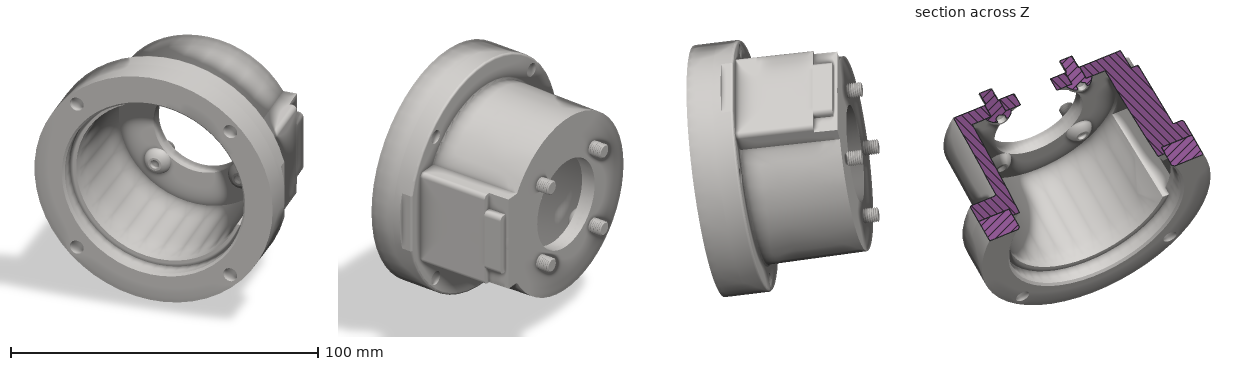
import cadquery as cq
import math


FLANGE_RADIUS = 41.3
RING_THICKNESS = 8.6
BORE_RADIUS = 31.0
BORE_CHAMFER = 0.75
MOUNT_HOLE_RADIUS = 2.4
MOUNT_HOLE_OFFSET = 26.6

SPIGOT_LENGTH = 2.9
FLANGE_THICKNESS = 6.5
FLANGE_FILLET = 0.75
TUBE_BASE_RADIUS = 32.45
TUBE_END_RADIUS = 31.95
TUBE_FILLET = 0.75
TUBE_LENGTH = 33.0
CAVITY_MOUTH_RADIUS = 28.9
CAVITY_FLOOR_RADIUS = 28.0
FLOOR_THICKNESS = 5.0
FLOOR_HOLE_RADIUS = 15.9
FLANGE_FLAT_X = 39.95
FLANGE_FLAT_DEPTH = 3.8

SPIGOT_Y = RING_THICKNESS - SPIGOT_LENGTH
FLANGE_BACK_Y = RING_THICKNESS + FLANGE_THICKNESS
TUBE_END_Y = FLANGE_BACK_Y + TUBE_LENGTH
FLOOR_Y = TUBE_END_Y - FLOOR_THICKNESS

BOX_HALF_WIDTH = 16.75
BOX_BASE_X = 35.0
BOX_STEP_X = 34.6
BOX_EDGE_RADIUS = 1.6
SEAT_LENGTH = 7.6
SEAT_STEP_X = 32.1
SEAT_END_X = 31.9
SLOT_HALF_WIDTH = 10.8
SLOT_MOUTH_X = 32.7
SLOT_END_X = 31.7
SLOT_LENGTH = 33.0

SEAT_Y = TUBE_END_Y - SEAT_LENGTH

INSERT_LENGTH = 6.35
INSERT_HALF_WIDTH = SLOT_HALF_WIDTH
INSERT_STEP_X = 34.75
INSERT_END_X = 34.6

SCREW_OFFSET = 14.5
SCREW_TIP_Y = 53.1
THREAD_CREST_RADIUS = 2.5
THREAD_ROOT_RADIUS = 2.1
THREAD_TEETH = 7
HEAD_RADIUS = 4.6
HEAD_HEIGHT = 2.7
HEAD_TOP_RADIUS = 2.3
SOCKET_RADIUS = 1.6
SOCKET_DEPTH = 1.5
SOCKET_POINT = 0.8


def revolve_about_y(profile):
    return profile.close().revolve(360, (0, 0, 0), (0, 1, 0))


def corner_points(offset):
    return [(x, z) for x in (-offset, offset) for z in (-offset, offset)]


def rods_along_y(points, radius, y_start, y_end):
    plane = cq.Workplane("XZ", origin=(0, y_start, 0))
    return plane.pushPoints(points).circle(radius).extrude(y_start - y_end)


def slab(outline, half_width):
    """Extrude an outline drawn in X and Y equally to both sides of Z = 0."""
    return cq.Workplane("XY").polyline(outline).close().extrude(half_width, both=True)


def rounded_slab(outline, half_width):
    """Slab whose two long edges on the outermost X face are rounded."""
    return slab(outline, half_width).faces(">X").edges("not |Z").fillet(BOX_EDGE_RADIUS)


def mount_holes():
    return rods_along_y(corner_points(MOUNT_HOLE_OFFSET), MOUNT_HOLE_RADIUS, 0, FLANGE_BACK_Y)


def make_ring():
    profile = (
        cq.Workplane("XY")
        .moveTo(BORE_RADIUS + BORE_CHAMFER, 0)
        .lineTo(FLANGE_RADIUS, 0)
        .lineTo(FLANGE_RADIUS, RING_THICKNESS)
        .lineTo(BORE_RADIUS, RING_THICKNESS)
        .lineTo(BORE_RADIUS, BORE_CHAMFER)
    )
    return revolve_about_y(profile).cut(mount_holes())


def flange():
    """Disc with a flat on the rear of its +X rim, rounded along its rear edge."""
    flat_front_y = FLANGE_BACK_Y - FLANGE_FLAT_DEPTH
    beyond_flat = slab(
        [
            (FLANGE_FLAT_X, flat_front_y),
            (FLANGE_RADIUS, flat_front_y),
            (FLANGE_RADIUS, FLANGE_BACK_Y),
            (FLANGE_FLAT_X, FLANGE_BACK_Y),
        ],
        FLANGE_RADIUS,
    )
    disc = rods_along_y([(0, 0)], FLANGE_RADIUS, RING_THICKNESS, FLANGE_BACK_Y)
    return disc.cut(beyond_flat).faces(">Y").edges().fillet(FLANGE_FILLET)


def spigot_and_tube():
    """Solid outside of the spigot and the tapered tube, filleted where the tube leaves the flange."""
    profile = (
        cq.Workplane("XY")
        .moveTo(0, SPIGOT_Y)
        .lineTo(BORE_RADIUS, SPIGOT_Y)
        .lineTo(BORE_RADIUS, FLANGE_BACK_Y)
        .lineTo(TUBE_BASE_RADIUS + TUBE_FILLET, FLANGE_BACK_Y)
        .radiusArc((TUBE_BASE_RADIUS, FLANGE_BACK_Y + TUBE_FILLET), TUBE_FILLET)
        .lineTo(TUBE_END_RADIUS, TUBE_END_Y)
        .lineTo(0, TUBE_END_Y)
    )
    return revolve_about_y(profile)


def side_box():
    """Box beside the tube, rounded along its outer edges and stepped down to the seat."""
    tall = [(0, FLANGE_BACK_Y), (BOX_BASE_X, FLANGE_BACK_Y), (BOX_STEP_X, SEAT_Y), (0, SEAT_Y)]
    seat = [(0, SEAT_Y), (SEAT_STEP_X, SEAT_Y), (SEAT_END_X, TUBE_END_Y), (0, TUBE_END_Y)]
    return rounded_slab(tall, BOX_HALF_WIDTH).union(slab(seat, BOX_HALF_WIDTH))


def cavity():
    """Tapered bore of the tube, from the spigot mouth to the floor."""
    profile = (
        cq.Workplane("XY")
        .moveTo(0, SPIGOT_Y)
        .lineTo(CAVITY_MOUTH_RADIUS, SPIGOT_Y)
        .lineTo(CAVITY_FLOOR_RADIUS, FLOOR_Y)
        .lineTo(0, FLOOR_Y)
    )
    return revolve_about_y(profile)


def channel():
    """Channel beside the cavity, open through the spigot, with a ceiling that slopes inward."""
    end_y = RING_THICKNESS + SLOT_LENGTH
    outline = [
        (0, SPIGOT_Y),
        (SLOT_MOUTH_X, SPIGOT_Y),
        (SLOT_MOUTH_X, RING_THICKNESS),
        (SLOT_END_X, end_y),
        (0, end_y),
    ]
    return slab(outline, SLOT_HALF_WIDTH)


def make_housing():
    screw_holes = rods_along_y(corner_points(SCREW_OFFSET), THREAD_CREST_RADIUS, FLOOR_Y, TUBE_END_Y)
    floor_hole = rods_along_y([(0, 0)], FLOOR_HOLE_RADIUS, FLOOR_Y, TUBE_END_Y)
    return (
        spigot_and_tube()
        .union(flange())
        .union(side_box())
        .cut(cavity())
        .cut(channel())
        .cut(floor_hole)
        .cut(screw_holes)
        .cut(mount_holes())
    )


def make_insert(housing_body):
    """Block on the seat, trimmed to the housing that carries it."""
    end_y = SEAT_Y + INSERT_LENGTH
    seat_slope = (SEAT_END_X - SEAT_STEP_X) / SEAT_LENGTH
    seat_x_at_end = SEAT_STEP_X + seat_slope * INSERT_LENGTH
    outline = [
        (SEAT_STEP_X, SEAT_Y),
        (INSERT_STEP_X, SEAT_Y),
        (INSERT_END_X, end_y),
        (seat_x_at_end, end_y),
    ]
    return rounded_slab(outline, INSERT_HALF_WIDTH).cut(housing_body)


def make_screw(x, z):
    """Button-head screw with V-shaped ridges on the part that stands out of the housing."""
    pitch = (SCREW_TIP_Y - TUBE_END_Y) / THREAD_TEETH
    head_y = FLOOR_Y - HEAD_HEIGHT
    dome_centre_depth = (HEAD_RADIUS**2 - HEAD_TOP_RADIUS**2 - HEAD_HEIGHT**2) / (2 * HEAD_HEIGHT)
    dome_radius = math.hypot(HEAD_RADIUS, dome_centre_depth)
    profile = (
        cq.Workplane("XY")
        .moveTo(0, head_y + SOCKET_DEPTH + SOCKET_POINT)
        .lineTo(SOCKET_RADIUS, head_y + SOCKET_DEPTH)
        .lineTo(SOCKET_RADIUS, head_y)
        .lineTo(HEAD_TOP_RADIUS, head_y)
        .radiusArc((HEAD_RADIUS, FLOOR_Y), -dome_radius)
        .lineTo(THREAD_CREST_RADIUS, FLOOR_Y)
        .lineTo(THREAD_CREST_RADIUS, TUBE_END_Y)
        .lineTo(THREAD_ROOT_RADIUS, TUBE_END_Y)
    )
    for tooth in range(THREAD_TEETH):
        root_y = TUBE_END_Y + tooth * pitch
        profile = profile.lineTo(THREAD_CREST_RADIUS, root_y + pitch / 2)
        profile = profile.lineTo(THREAD_ROOT_RADIUS, root_y + pitch)
    profile = profile.lineTo(0, SCREW_TIP_Y)
    return revolve_about_y(profile).translate((x, 0, z))


ring = make_ring()
housing = make_housing()
insert = make_insert(housing)
screws = [make_screw(x, z) for x, z in corner_points(SCREW_OFFSET)]

result = cq.Compound.makeCompound(
    [ring.val(), housing.val(), *insert.vals(), *[screw.val() for screw in screws]]
)